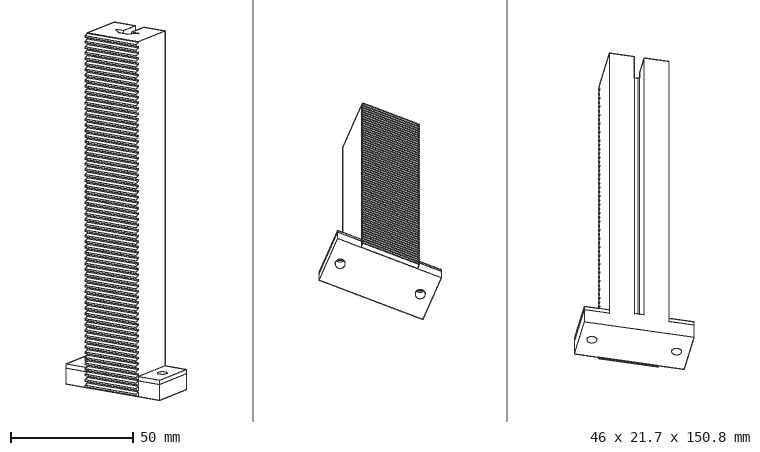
import cadquery as cq
import math

bar_height = 150.8
bar_width = 25.0
bar_depth = 20.0

tooth_count = 64
tooth_height = 1.7
pressure_angle = 20.0
tooth_pitch = bar_height / tooth_count
module = tooth_pitch / math.pi
tooth_flank_rise = math.tan(math.radians(pressure_angle))
tooth_tip_width = tooth_pitch / 2 - 2 * module * tooth_flank_rise
tooth_root_width = tooth_tip_width + 2 * tooth_height * tooth_flank_rise

foot_span = 46.0
lug_height = 6.8
pad_thickness = 1.8
foot_height = lug_height + pad_thickness
lug_length = (foot_span - bar_width) / 2
hole_diameter = 4.0
hole_spacing = 35.5

slot_neck_width = 4.0
slot_neck_depth = 9.0
slot_head_width = 11.5
slot_depth = 12.7
slot_floor = foot_height

root_face_y = -bar_depth / 2
back_face_y = bar_depth / 2


def make_toothed_bar():
    """Bar extruded along X from its side outline, with trapezoidal teeth down the -Y edge."""
    half_root = tooth_root_width / 2
    half_tip = tooth_tip_width / 2
    tip_y = root_face_y - tooth_height
    outline = [(back_face_y, bar_height), (back_face_y, 0), (root_face_y, 0)]
    for index in range(tooth_count):
        center_z = (index + 0.5) * tooth_pitch
        outline += [
            (root_face_y, center_z - half_root),
            (tip_y, center_z - half_tip),
            (tip_y, center_z + half_tip),
            (root_face_y, center_z + half_root),
        ]
    outline.append((root_face_y, bar_height))
    return cq.Workplane("YZ").polyline(outline).close().extrude(bar_width / 2, both=True)


def make_slot():
    """Cutter for the slot: a straight neck that opens into a tapered head."""
    half_neck = slot_neck_width / 2
    half_head = slot_head_width / 2
    shoulder_y = back_face_y - slot_neck_depth
    end_y = back_face_y - slot_depth
    return (
        cq.Workplane("XY", origin=(0, 0, slot_floor))
        .polyline([
            (half_neck, back_face_y),
            (half_neck, shoulder_y),
            (half_head, shoulder_y),
            (half_neck, end_y),
            (-half_neck, end_y),
            (-half_head, shoulder_y),
            (-half_neck, shoulder_y),
            (-half_neck, back_face_y),
        ])
        .close()
        .extrude(bar_height - slot_floor)
    )


def make_screw_hole(side):
    """Cutter for the vertical screw hole on one side of the bar."""
    return (
        cq.Workplane("XY", origin=(side * hole_spacing / 2, 0, 0))
        .circle(hole_diameter / 2)
        .extrude(foot_height)
    )


def make_rack():
    """The toothed bar with a mounting lug on each side of its foot."""
    foot = cq.Workplane("XY").box(foot_span, bar_depth, lug_height, centered=(True, True, False))
    body = make_toothed_bar().union(foot).cut(make_slot())
    for side in (-1, 1):
        body = body.cut(make_screw_hole(side))
    return body


def make_pad(side):
    """Flat pad that covers the top of one lug, drilled in line with it."""
    center_x = side * (bar_width + lug_length) / 2
    pad = (
        cq.Workplane("XY", origin=(center_x, 0, lug_height))
        .box(lug_length, bar_depth, pad_thickness, centered=(True, True, False))
    )
    return pad.cut(make_screw_hole(side))


rack = make_rack()
pads = [make_pad(side).val() for side in (-1, 1)]

result = cq.Compound.makeCompound([rack.val(), *pads])